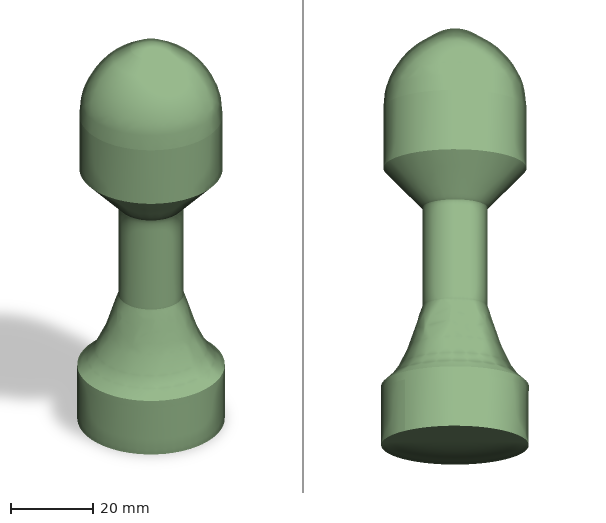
import cadquery as cq

total_height = 105.0
pad_height = 13.0
foot_height = 15.0
flare_top = 35.0
neck_top = 60.0
head_bottom = 70.0
head_top = 85.0
tip_height = 1.4
tip_bottom = total_height - tip_height

foot_radius = 36.0 / 2
neck_radius = 16.0 / 2
head_radius = 35.0 / 2
tip_radius = 10.0 / 2

web_width = 13.6

flare_points = [(10.4, 27.7), (14.5, 18.7)]
dome_points = [(14.7, 95.1), (11.0, 99.5)]


sphere_radius = (tip_radius**2 + tip_height**2) / (2 * tip_height)
center_height = total_height - sphere_radius


def tip_arc_middle():
    """Midpoint of the spherical tip arc in the half profile."""
    direction = cq.Vector(tip_radius, tip_bottom - center_height + sphere_radius).normalized()
    return direction.x * sphere_radius, center_height + direction.y * sphere_radius


def make_handle_blank():
    """Revolved foot, flare, neck and domed head, before the pad recesses are cut."""
    vertical = (0, 1)
    tip_rim_tangent = (center_height - tip_bottom, tip_radius)
    profile = (
        cq.Workplane("XZ")
        .lineTo(foot_radius, 0)
        .lineTo(foot_radius, foot_height)
        .spline([*reversed(flare_points), (neck_radius, flare_top)], includeCurrent=True)
        .lineTo(neck_radius, neck_top)
        .lineTo(head_radius, head_bottom)
        .lineTo(head_radius, head_top)
        .spline(
            [*dome_points, (tip_radius, tip_bottom)],
            tangents=[vertical, tip_rim_tangent],
            includeCurrent=True,
        )
        .threePointArc(tip_arc_middle(), (0, total_height))
        .close()
    )
    return profile.revolve(360, (0, 0, 0), (0, 1, 0))


def make_pad(side):
    """Circular-segment pad beside the web; side is -1 or +1 along Y."""
    half_block = cq.Workplane("XY").box(
        2 * foot_radius, foot_radius, pad_height, centered=(True, False, False)
    )
    if side < 0:
        half_block = half_block.mirror("XZ")
    half_block = half_block.translate((0, side * web_width / 2, 0))
    return cq.Workplane("XY").circle(foot_radius).extrude(pad_height).intersect(half_block)


pads = [make_pad(side) for side in (-1, 1)]

handle = make_handle_blank()
for pad in pads:
    handle = handle.cut(pad)

result = cq.Compound.makeCompound([handle.val(), *[pad.val() for pad in pads]])